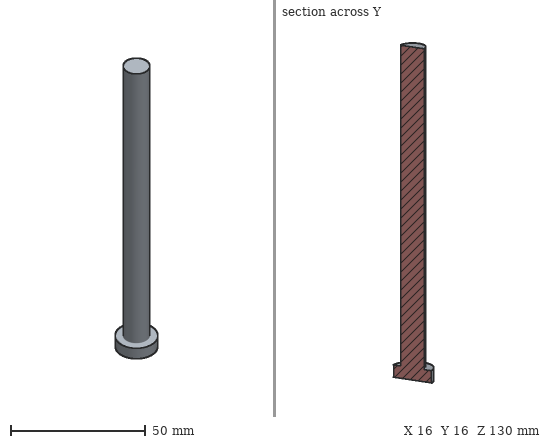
import cadquery as cq

total_length = 130.0
head_diameter = 16.0
head_height = 5.0
shank_diameter = 10.0
neck_fillet = 0.3

shank_radius = shank_diameter / 2
head_radius = head_diameter / 2

profile = (
    cq.Workplane("XZ")
    .lineTo(head_radius, 0)
    .lineTo(head_radius, head_height)
    .lineTo(shank_radius + neck_fillet, head_height)
    .radiusArc((shank_radius, head_height + neck_fillet), neck_fillet)
    .lineTo(shank_radius, total_length)
    .lineTo(0, total_length)
    .close()
)

result = profile.revolve(360, (0, 0, 0), (0, 1, 0))